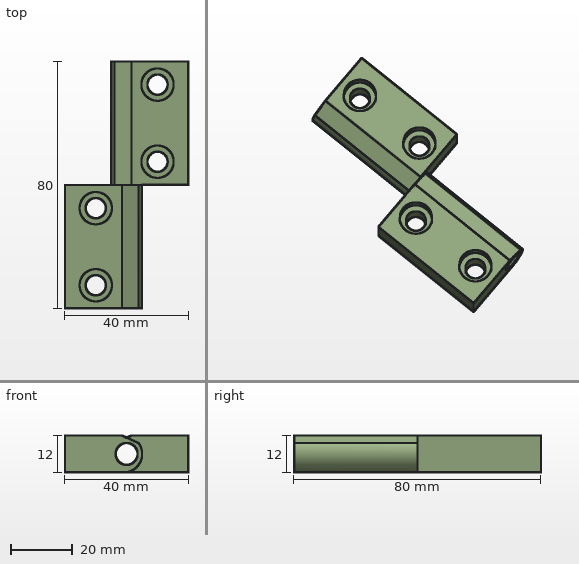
import cadquery as cq
import math

leaf_length = 40.0
leaf_reach = 20.0
thickness = 12.0
nose_reach = 5.0
relief_start = 1.5
relief_end = 3.9
pin_bore_diameter = 7.0
screw_diameter = 6.5
counterbore_diameter = 10.5
counterbore_depth = 4.0
screw_end_margin = 7.5

nose_radius = thickness / 2
mid_height = thickness / 2
nose_center_x = nose_reach - nose_radius
relief_end_z = mid_height + math.sqrt(nose_radius**2 - (relief_end - nose_center_x) ** 2)
screw_x = -leaf_reach / 2
screw_positions = [
    (screw_x, -leaf_length + screw_end_margin),
    (screw_x, -screw_end_margin),
]


def leaf_profile():
    """Leaf cross-section: flat plate, sloped relief and nose arc tangent to the base."""
    return (
        cq.Workplane("XZ")
        .moveTo(-leaf_reach, 0)
        .lineTo(-leaf_reach, thickness)
        .lineTo(-relief_start, thickness)
        .lineTo(relief_end, relief_end_z)
        .threePointArc((nose_reach, mid_height), (nose_center_x, 0))
        .close()
    )


def make_leaf():
    """Hinge leaf on the -X, -Y side, ending at Y = 0."""
    body = leaf_profile().extrude(leaf_length)
    pin_bore = (
        cq.Workplane("XZ")
        .center(0, mid_height)
        .circle(pin_bore_diameter / 2)
        .extrude(leaf_length)
    )
    return (
        body.cut(pin_bore)
        .faces(">Z")
        .workplane(origin=(0, 0, thickness))
        .pushPoints(screw_positions)
        .cboreHole(screw_diameter, counterbore_diameter, counterbore_depth)
    )


leaves = []
for turn in (0, 180):
    leaf = make_leaf().rotate((0, 0, 0), (0, 0, 1), turn)
    leaves.append(leaf.val())

result = cq.Compound.makeCompound(leaves)